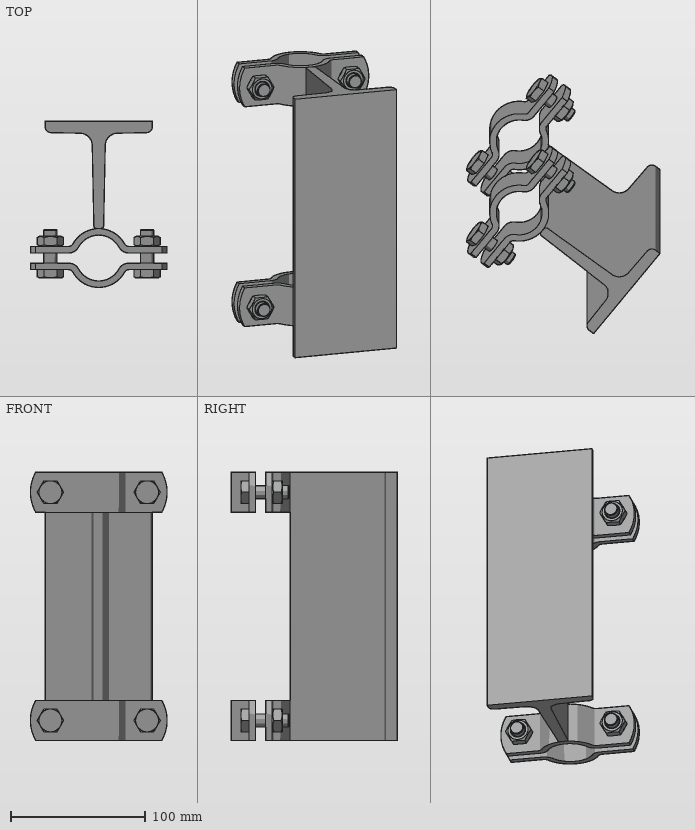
import cadquery as cq
import math

beam_length = 200.0
beam_width = 80.0
beam_depth = 80.0
beam_thickness = 9.0
face_slope = 0.02
root_radius = beam_thickness
toe_radius = root_radius / 2
web_tip_radius = 2.0

clamp_height = 30.0
bore_radius = 17.0
strap_thickness = 5.0
strap_gap = 7.5
bend_radius = 3.5
clamp_length = 102.0
strap_end_radius = 30.0

bolt_offset = 36.0
bolt_diameter = 10.0
bolt_tip_diameter = 9.2
bolt_tip_angle = 60.0
bolt_end_above_strap = 12.5
hex_across_flats = 17.0
head_height = 6.0
nut_height = 7.8
nut_face_diameter = 15.5
nut_countersink_diameter = 11.5
hex_chamfer_angle = 30.0
countersink_taper = 45.0

outer_radius = bore_radius + strap_thickness
flat_inner_y = strap_gap / 2
flat_outer_y = flat_inner_y + strap_thickness
hex_across_corners = hex_across_flats / math.cos(math.pi / 6)

pick_margin = 0.2


def make_beam():
    """Tee section with sloped flange and web faces, its web tip resting on the clamps."""
    tip_y = outer_radius
    back_y = tip_y + beam_depth
    half_width = beam_width / 2
    tip_half = beam_thickness / 2 - face_slope * beam_depth / 2
    toe_y = back_y - beam_thickness + face_slope * beam_width / 4
    corner_x = (tip_half + face_slope * (toe_y - tip_y - face_slope * half_width)) / (1 - face_slope**2)
    corner_y = toe_y - face_slope * (half_width - corner_x)

    beam = (
        cq.Workplane("XY")
        .polyline([
            (-half_width, back_y),
            (half_width, back_y),
            (half_width, toe_y),
            (corner_x, corner_y),
            (tip_half, tip_y),
            (-tip_half, tip_y),
            (-corner_x, corner_y),
            (-half_width, toe_y),
        ])
        .close()
        .extrude(beam_length)
    )

    def edge_box(x, y):
        low = (x - pick_margin, y - pick_margin, -pick_margin)
        high = (x + pick_margin, y + pick_margin, beam_length + pick_margin)
        return cq.selectors.BoxSelector(low, high)

    def upright_edges(x, y):
        """Pair of edges along Z at (x, y) and at its mirror point (-x, y)."""
        return edge_box(x, y) + edge_box(-x, y)

    beam = beam.edges(upright_edges(corner_x, corner_y)).fillet(root_radius)
    beam = beam.edges(upright_edges(half_width, toe_y)).fillet(toe_radius)
    return beam.edges(upright_edges(tip_half, tip_y)).fillet(web_tip_radius)


def make_strap():
    """Clamp half on the +Y side: a half ring bent out into two flat ears with rounded ends."""
    bend_y = flat_outer_y + bend_radius
    bend_distance = outer_radius + bend_radius
    bend_x = math.sqrt(bend_distance**2 - bend_y**2)
    bend_angle = math.atan2(bend_y, bend_x)
    end_x = clamp_length / 2
    half_height = clamp_height / 2

    def on_ring(radius):
        return radius * math.cos(bend_angle), radius * math.sin(bend_angle)

    def bend_middle(radius):
        to_bore = bend_angle - math.pi
        angle = (to_bore - math.pi / 2) / 2
        return bend_x + radius * math.cos(angle), bend_y + radius * math.sin(angle)

    def mirror(point):
        return -point[0], point[1]

    bend_outside = bend_radius + strap_thickness
    strap = (
        cq.Workplane("XY")
        .moveTo(end_x, flat_outer_y)
        .lineTo(bend_x, flat_outer_y)
        .threePointArc(bend_middle(bend_radius), on_ring(outer_radius))
        .threePointArc((0, outer_radius), mirror(on_ring(outer_radius)))
        .threePointArc(mirror(bend_middle(bend_radius)), (-bend_x, flat_outer_y))
        .lineTo(-end_x, flat_outer_y)
        .lineTo(-end_x, flat_inner_y)
        .lineTo(-bend_x, flat_inner_y)
        .threePointArc(mirror(bend_middle(bend_outside)), mirror(on_ring(bore_radius)))
        .threePointArc((0, bore_radius), on_ring(bore_radius))
        .threePointArc(bend_middle(bend_outside), (bend_x, flat_inner_y))
        .lineTo(end_x, flat_inner_y)
        .close()
        .extrude(half_height, both=True)
    )

    corner_x = end_x - strap_end_radius + math.sqrt(strap_end_radius**2 - half_height**2)
    ear_outline = (
        cq.Workplane("XZ")
        .moveTo(-corner_x, half_height)
        .lineTo(corner_x, half_height)
        .threePointArc((end_x, 0), (corner_x, -half_height))
        .lineTo(-corner_x, -half_height)
        .threePointArc((-end_x, 0), (-corner_x, half_height))
        .close()
        .extrude(2 * outer_radius, both=True)
    )
    return strap.intersect(ear_outline)


def make_hex(height, face_diameter, chamfer_both_ends=False):
    """Hexagonal block along Z from z = 0, its corners trimmed by a cone at the top or at both ends."""
    corner_radius = hex_across_corners / 2
    face_radius = face_diameter / 2
    drop = (corner_radius - face_radius) * math.tan(math.radians(hex_chamfer_angle))
    envelope = cq.Workplane("XY").circle(corner_radius).extrude(height)
    envelope = envelope.faces(">Z").chamfer(drop, corner_radius - face_radius)
    if chamfer_both_ends:
        envelope = envelope.faces("<Z").chamfer(drop, corner_radius - face_radius)
    return cq.Workplane("XY").polygon(6, hex_across_corners).extrude(height).intersect(envelope)


def make_nut():
    """Nut along Z from z = 0, solid inside apart from the countersink at its top."""
    countersink_width = (nut_countersink_diameter - bolt_diameter) / 2
    countersink_depth = countersink_width / math.tan(math.radians(countersink_taper))
    countersink = cq.Workplane("XY").workplane(offset=nut_height).circle(nut_countersink_diameter / 2)
    countersink = countersink.extrude(-countersink_depth, taper=countersink_taper)
    return make_hex(nut_height, nut_face_diameter, chamfer_both_ends=True).cut(countersink)


def make_bolt():
    """Bolt and nut along +Y, passing through the point y = 0."""
    end_y = flat_outer_y + bolt_end_above_strap
    tip_inset = (bolt_diameter - bolt_tip_diameter) / 2
    tip_length = tip_inset * math.tan(math.radians(bolt_tip_angle))
    shank = (
        cq.Workplane("XY")
        .circle(bolt_diameter / 2)
        .extrude(end_y + flat_outer_y)
        .faces(">Z")
        .chamfer(tip_length, tip_inset)
        .translate((0, 0, -flat_outer_y))
    )
    head = make_hex(head_height, hex_across_flats).rotate((0, 0, 0), (1, 0, 0), 180)
    head = head.translate((0, 0, -flat_outer_y))
    nut = make_nut().translate((0, 0, flat_outer_y))
    return nut.union(shank).union(head).rotate((0, 0, 0), (1, 0, 0), -90)


def make_clamp(center_z):
    """Two clamp halves joined by two bolts, as one body."""
    strap = make_strap()
    bolt = make_bolt()
    clamp = strap.union(strap.mirror("XZ"))
    for side in (-1, 1):
        clamp = clamp.union(bolt.translate((side * bolt_offset, 0, 0)))
    return clamp.translate((0, 0, center_z))


beam = make_beam()
clamps = [make_clamp(z) for z in (clamp_height / 2, beam_length - clamp_height / 2)]

result = cq.Compound.makeCompound([beam.val(), *[clamp.val() for clamp in clamps]])